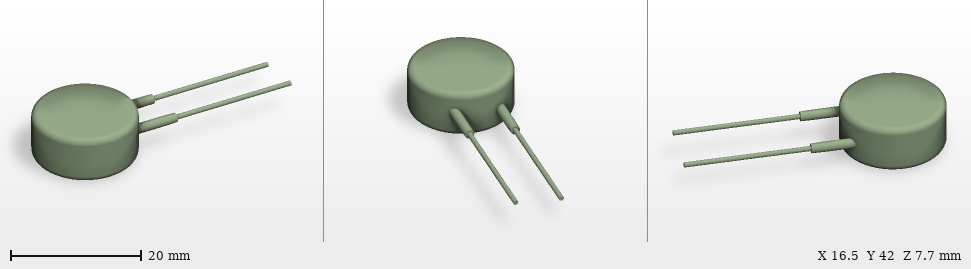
import cadquery as cq

total_length = 42.0
body_diameter = 16.5
body_height = 7.7
edge_radius = 1.0

lead_spacing = 7.48
lead_height_offset = 0.5
lead_diameter = 0.8
lead_exposed_length = 20.0

sleeve_diameter = 1.6
sleeve_tip_diameter = 1.5
sleeve_taper_length = 2.1

body_radius = body_diameter / 2
lead_end_y = total_length - body_radius
sleeve_end_y = lead_end_y - lead_exposed_length
taper_start_y = sleeve_end_y - sleeve_taper_length


def make_body():
    return (
        cq.Workplane("XY")
        .cylinder(body_height, body_radius)
        .edges("%CIRCLE")
        .fillet(edge_radius)
    )


def make_sleeved_lead(x, z):
    """Revolve the sleeve and lead about the lead axis, starting inside the body."""
    profile = [
        (0, 0),
        (sleeve_diameter / 2, 0),
        (sleeve_diameter / 2, taper_start_y),
        (sleeve_tip_diameter / 2, sleeve_end_y),
        (lead_diameter / 2, sleeve_end_y),
        (lead_diameter / 2, lead_end_y),
        (0, lead_end_y),
    ]
    return (
        cq.Workplane("XY")
        .polyline(profile)
        .close()
        .revolve(360, (0, 0), (0, 1))
        .translate((x, 0, z))
    )


result = make_body()
for side in (-1, 1):
    lead = make_sleeved_lead(side * lead_spacing / 2, side * lead_height_offset)
    result = result.union(lead)